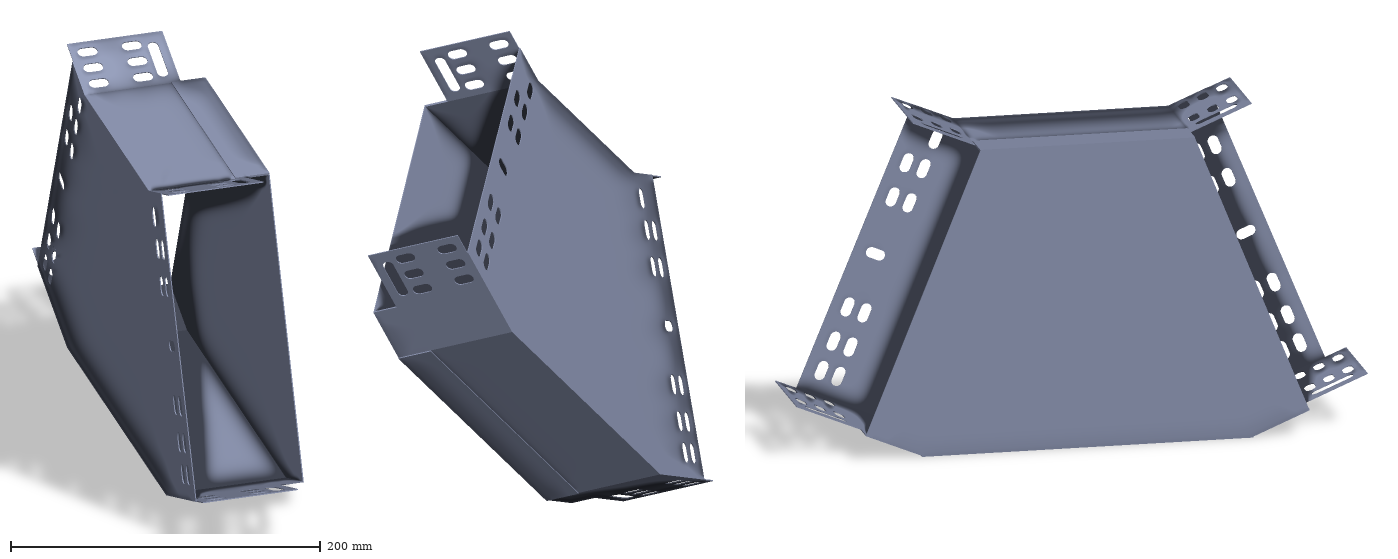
import cadquery as cq
import math


OVERALL_WIDTH = 378.2
OVERALL_DEPTH = 81.7
OVERALL_HEIGHT = 219.7
SHEET = 0.68

FLARE = math.radians(22.5)
COS = math.cos(FLARE)
SIN = math.sin(FLARE)
BEND_SHIFT = SHEET * math.tan(FLARE / 2)

FRONT_Y = -OVERALL_DEPTH / 2
BACK_Y = OVERALL_DEPTH / 2
WALL_FRONT_Y = FRONT_Y + SHEET
WALL_BACK_Y = BACK_Y - SHEET
TAB_DEPTH = 65.0
TAB_BACK_Y = FRONT_Y + TAB_DEPTH
LIP_DEPTH = 23.0

TAB_OVERHANG = 15.0
TAB_NOTCH = 45.8

LOWER_BEND_X = 109.5
LOWER_Z = -OVERALL_HEIGHT / 2 + SHEET
LOWER_WING = (OVERALL_WIDTH / 2 - LOWER_BEND_X) / COS
UPPER_BEND_X = 71.0
UPPER_WING = 44.2
UPPER_Z = OVERALL_HEIGHT / 2 - UPPER_WING * SIN

SLOT_LENGTH = 13.2
SLOT_WIDTH = 7.0
LONG_SLOT_LENGTH = 30.0
PLATE_ROWS = (39.0, 63.0, 84.0)
OUTER_COLUMN = 11.5
INNER_COLUMN = 23.5
CROSS_SLOT_INSET = 15.0
TAB_COLUMNS = (8.7, 22.5, 36.0)
TAB_ROWS = (12.0, 42.0)
LONG_SLOT_FROM_TIP = 23.0
LONG_SLOT_FROM_FRONT = 55.5

SIDES = (-1, 1)


def wing_point(bend_x, bend_z, distance):
    """Point (x, z) on the +X wing, at a distance from its bend line."""
    return bend_x + distance * COS, bend_z + distance * SIN


def mirrored(half):
    """Close a left-right symmetric outline from its +X half."""
    return half + [(-x, z) for x, z in reversed(half)]


def extrude_outline(points, y_start, y_end):
    """Extrude an XZ outline between two depths."""
    plane = cq.Workplane("XZ", origin=(0, y_start, 0))
    return plane.polyline(points).close().extrude(y_start - y_end)


def block(x_start, x_end, y_start, y_end, z_start, z_end):
    """Box between two limits on each axis."""
    size = (x_end - x_start, y_end - y_start, z_end - z_start)
    return cq.Workplane("XY").box(*size, centered=False).translate((x_start, y_start, z_start))


def bent_wall(bend_x, lower_z, wing_length, notch_x):
    """Wall with a flat and two rising wings, given by its lower surface.

    Beyond notch_x on each side the wall is cut down to tab depth.
    """
    tip_x, tip_z = wing_point(bend_x, lower_z, wing_length)
    half = [
        (0, lower_z),
        (bend_x, lower_z),
        (tip_x, tip_z),
        (tip_x - SHEET * SIN, tip_z + SHEET * COS),
        (bend_x - BEND_SHIFT, lower_z + SHEET),
        (0, lower_z + SHEET),
    ]
    right = extrude_outline(half, WALL_FRONT_Y, WALL_BACK_Y)
    right = right.cut(block(notch_x, tip_x, TAB_BACK_Y, WALL_BACK_Y, lower_z, tip_z + SHEET))
    return right.union(right.mirror("YZ"))


LOWER_CORNER = wing_point(LOWER_BEND_X, LOWER_Z, LOWER_WING - TAB_OVERHANG)
UPPER_CORNER = wing_point(UPPER_BEND_X, UPPER_Z, UPPER_WING - TAB_OVERHANG)

COVER_CORNER = wing_point(LOWER_BEND_X, LOWER_Z, LOWER_WING - TAB_NOTCH)


def slot_cutters(plane, points, length, width, angle):
    """Slots through a sheet, centred on points of the given plane."""
    slots = cq.Workplane(plane).pushPoints(points).slot2D(length, width, angle)
    return slots.extrude(2 * SHEET, both=True)


def cut_plate_slots(tray):
    """Slots along both open edges of the front plate; the top of the outer column has none."""
    plane = cq.Plane(origin=(0, FRONT_Y, 0), xDir=(1, 0, 0), normal=(0, -1, 0))
    middle_x = (LOWER_CORNER[0] + UPPER_CORNER[0]) / 2
    middle_z = (LOWER_CORNER[1] + UPPER_CORNER[1]) / 2
    rows = [-row for row in PLATE_ROWS] + list(PLATE_ROWS)
    places = [(row, INNER_COLUMN) for row in rows]
    places += [(row, OUTER_COLUMN) for row in rows if row != max(rows)]

    def plate_point(side, row, inset):
        x = middle_x - row * SIN - inset * COS
        z = middle_z + row * COS - inset * SIN
        return side * x, z

    for side in SIDES:
        edge_angle = 90 + side * math.degrees(FLARE)
        along_edge = [plate_point(side, row, inset) for row, inset in places]
        tray = tray.cut(slot_cutters(plane, along_edge, SLOT_LENGTH, SLOT_WIDTH, edge_angle))
        across_edge = [plate_point(side, 0, CROSS_SLOT_INSET)]
        tray = tray.cut(slot_cutters(plane, across_edge, SLOT_LENGTH, SLOT_WIDTH, edge_angle + 90))
    return tray


def cut_tab_slots(tray, tip):
    """Slots of the two tabs at one height, square to their sheet; tip is the +X wing tip (x, z)."""
    short_slots = [(column, row) for column in TAB_COLUMNS for row in TAB_ROWS]
    long_slot = [(LONG_SLOT_FROM_TIP, LONG_SLOT_FROM_FRONT)]
    for side in SIDES:
        plane = cq.Plane(
            origin=(side * tip[0], FRONT_Y, tip[1]),
            xDir=(-side * COS, 0, -SIN),
            normal=(SIN, 0, -side * COS),
        )
        tray = tray.cut(slot_cutters(plane, short_slots, SLOT_LENGTH, SLOT_WIDTH, 90))
        tray = tray.cut(slot_cutters(plane, long_slot, LONG_SLOT_LENGTH, SLOT_WIDTH, 0))
    return tray


def make_tray():
    """Front plate and the two walls bent back from it, with slotted tabs at the wing tips."""
    plate_outline = mirrored([
        (LOWER_BEND_X, LOWER_Z),
        LOWER_CORNER,
        UPPER_CORNER,
        (UPPER_BEND_X, UPPER_Z),
    ])
    plate = extrude_outline(plate_outline, FRONT_Y, WALL_FRONT_Y)
    lower_wall = bent_wall(LOWER_BEND_X, LOWER_Z, LOWER_WING, COVER_CORNER[0])
    upper_wall = bent_wall(
        UPPER_BEND_X + BEND_SHIFT,
        UPPER_Z - SHEET,
        UPPER_WING + BEND_SHIFT,
        UPPER_BEND_X,
    )
    tray = plate.union(lower_wall).union(upper_wall)
    tray = cut_plate_slots(tray)
    tray = cut_tab_slots(tray, wing_point(LOWER_BEND_X, LOWER_Z, LOWER_WING))
    return cut_tab_slots(tray, wing_point(UPPER_BEND_X, UPPER_Z, UPPER_WING))


def make_cover():
    """Back plate resting on the wall edges, with a lip over the outside of each wall's flat."""
    plate_outline = mirrored([
        (LOWER_BEND_X, LOWER_Z),
        COVER_CORNER,
        (UPPER_BEND_X, UPPER_Z),
    ])
    plate = extrude_outline(plate_outline, WALL_BACK_Y, BACK_Y)
    lip_front_y = BACK_Y - LIP_DEPTH
    lower_lip = block(-LOWER_BEND_X, LOWER_BEND_X, lip_front_y, BACK_Y, LOWER_Z - SHEET, LOWER_Z)
    upper_lip = block(-UPPER_BEND_X, UPPER_BEND_X, lip_front_y, BACK_Y, UPPER_Z, UPPER_Z + SHEET)
    return plate.union(lower_lip).union(upper_lip)


tray = make_tray()
cover = make_cover()

result = cq.Compound.makeCompound([tray.val(), cover.val()])